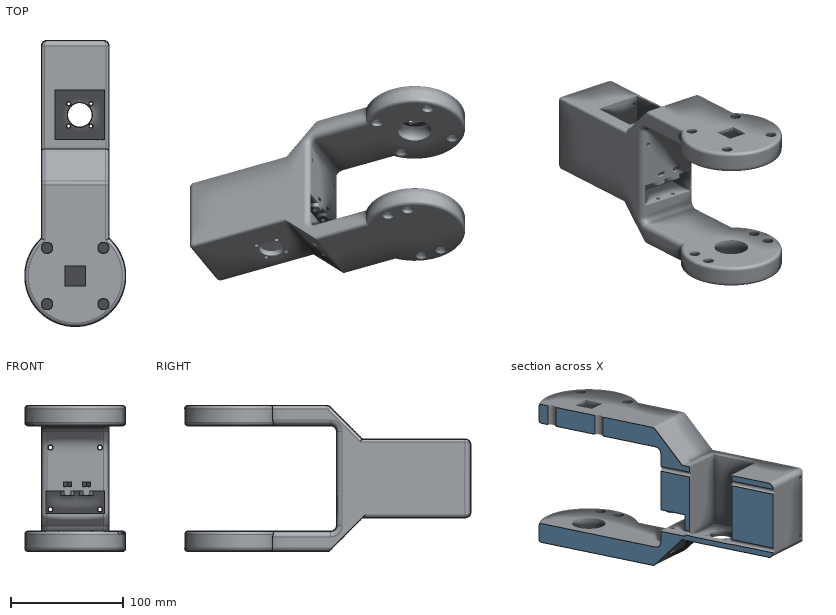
import cadquery as cq
import math

total_height = 130.0
total_length = 254.9
disc_diameter = 90.0
arm_thickness = 18.0
body_width = 60.1
body_height = 70.0

disc_radius = disc_diameter / 2
rear_y = total_length - disc_radius
yoke_face_y = 90.2
slope_front_y = 83.3
slope_rise = (total_height - body_height) / 2
slope_rear_y = slope_front_y + slope_rise

top_z = total_height / 2
body_top_z = body_height / 2
inner_z = top_z - arm_thickness
half_width = body_width / 2

tolerance = 0.3
edge_radius = 3.0
body_edge_radius = 2.5
large_radius = 5.0

disc_hole_diameter = 10.0
disc_hole_circle_radius = 35.5
upper_hole_angle = 45.0
lower_hole_angle = 15.8
disc_bore_diameter = 30.0
square_side = 18.0
upper_web = 3.0
lower_web = 4.0

motor_x = 4.0
motor_y = 143.5
motor_pocket_side = 44.0
motor_floor = 5.0
motor_shaft_hole_diameter = 22.0
motor_screw_diameter = 3.3
motor_screw_spacing = 20.0

screw_diameter = 4.0
long_screw_spacing_x = 44.0
long_screw_spacing_z = 55.0

window_width = 52.0
window_ceiling_z = -11.2
window_floor_z = -31.0
window_depth = 25.5
boss_xs = (-7.0, 10.0)
boss_diameter = 12.0
boss_drop = 3.8
boss_setback = 5.0
boss_axis_y = yoke_face_y + boss_setback
nut_width = 7.1
nut_slot_bottom_z = -7.5
nut_slot_height = 4.0


def plane_at(z):
    return cq.Workplane("XY").workplane(offset=z)


def make_yoke():
    """Body, sloped shoulders and two arms, as one side outline with rounded bends."""
    upper_outline = [
        (0, inner_z),
        (0, top_z),
        (slope_front_y, top_z),
        (slope_rear_y, body_top_z),
        (rear_y, body_top_z),
    ]
    lower_outline = [(y, -z) for y, z in reversed(upper_outline)]
    inner_outline = [(yoke_face_y, -inner_z), (yoke_face_y, inner_z)]
    outline = upper_outline + lower_outline + inner_outline
    yoke = cq.Workplane("YZ").polyline(outline).close().extrude(half_width, both=True)
    yoke = yoke.faces(">Y").edges().fillet(large_radius)
    rounded_bends = [
        (yoke_face_y, inner_z),
        (yoke_face_y, -inner_z),
        (slope_front_y, top_z),
    ]
    for y, z in rounded_bends:
        yoke = yoke.edges(cq.NearestToPointSelector((0, y, z))).fillet(large_radius)
    return yoke


def is_side_edge(edge):
    """Edges lying in the two flat sides."""
    return abs(edge.Center().x) > half_width - tolerance


def is_fork_edge(edge):
    """Side edges along the inside of the fork, from one arm around to the other."""
    center = edge.Center()
    inside = abs(center.z) < inner_z + tolerance and tolerance < center.y < yoke_face_y + tolerance
    return is_side_edge(edge) and inside


def is_arm_edge(edge):
    """Outer side edges of both arms and of the upper slope; the lower slope stays sharp."""
    center = edge.Center()
    upper = center.z > body_top_z + tolerance
    lower = center.z < tolerance - top_z
    outside = (upper or lower) and center.y > tolerance
    return is_side_edge(edge) and outside and not is_fork_edge(edge)


def is_body_edge(edge):
    """Long top and bottom edges of the body."""
    center = edge.Center()
    return is_side_edge(edge) and center.y > slope_rear_y and abs(center.z) > body_top_z - tolerance


def round_sides(yoke):
    """Round the fork inside, the outer arm edges and the long body edges."""
    yoke = yoke.edges().filter(is_fork_edge).fillet(large_radius)
    yoke = yoke.edges().filter(is_arm_edge).fillet(edge_radius)
    return yoke.edges().filter(is_body_edge).fillet(body_edge_radius)


def make_disc(bottom_z):
    """Disc at the end of an arm, with both rims rounded."""
    disc = plane_at(bottom_z).circle(disc_radius).extrude(arm_thickness)
    return disc.edges().fillet(edge_radius)


def make_bolt_holes(bottom_z, angle):
    """Four holes through a disc, at the given angle either side of the X axis."""
    x = disc_hole_circle_radius * math.cos(math.radians(angle))
    y = disc_hole_circle_radius * math.sin(math.radians(angle))
    corners = plane_at(bottom_z).rect(2 * x, 2 * y, forConstruction=True).vertices()
    return corners.circle(disc_hole_diameter / 2).extrude(arm_thickness)


def make_disc_bore(bottom_z, depth):
    return plane_at(bottom_z).circle(disc_bore_diameter / 2).extrude(depth)


def make_upper_disc_cuts():
    """Bore from below, a square opening through the web above it, and bolt holes."""
    bore = make_disc_bore(inner_z, arm_thickness - upper_web)
    square = plane_at(inner_z).rect(square_side, square_side).extrude(arm_thickness)
    return bore.union(square).union(make_bolt_holes(inner_z, upper_hole_angle))


def make_lower_disc_cuts():
    """Blind bore from above, and bolt holes."""
    bore = make_disc_bore(lower_web - top_z, arm_thickness - lower_web)
    return bore.union(make_bolt_holes(-top_z, lower_hole_angle))


def make_motor_cuts():
    """Square pocket from the top, with shaft and screw holes through its floor."""
    base = plane_at(-body_top_z).center(motor_x, motor_y)
    pocket_floor = base.workplane(offset=motor_floor)
    pocket = pocket_floor.rect(motor_pocket_side, motor_pocket_side).extrude(body_height - motor_floor)
    shaft_hole = base.circle(motor_shaft_hole_diameter / 2).extrude(body_height)
    screw_corners = base.rect(motor_screw_spacing, motor_screw_spacing, forConstruction=True).vertices()
    screw_holes = screw_corners.circle(motor_screw_diameter / 2).extrude(body_height)
    return pocket.union(shaft_hole).union(screw_holes)


def make_long_screw_holes():
    """Four holes along Y, from the yoke face through to the rear."""
    return (
        cq.Workplane("XZ")
        .workplane(offset=-rear_y)
        .rect(long_screw_spacing_x, long_screw_spacing_z, forConstruction=True)
        .vertices()
        .circle(screw_diameter / 2)
        .extrude(rear_y - yoke_face_y)
    )


def make_window():
    """Recess in the yoke face, less the round bosses hanging from its ceiling."""
    window_plane = plane_at(window_floor_z).center(0, yoke_face_y + window_depth / 2)
    window = window_plane.rect(window_width, window_depth).extrude(window_ceiling_z - window_floor_z)
    boss_centers = [(x, boss_axis_y) for x in boss_xs]
    boss_plane = plane_at(window_ceiling_z - boss_drop).pushPoints(boss_centers)
    bosses = boss_plane.circle(boss_diameter / 2).extrude(boss_drop)
    return window.cut(bosses)


def make_nut_cuts(x):
    """Hexagonal nut slot open at the yoke face, and the screw hole up to it from below."""
    nut_corner_diameter = nut_width / math.cos(math.pi / 6)
    slot_plane = plane_at(nut_slot_bottom_z).center(x, boss_axis_y)
    corner_to_rear = slot_plane.transformed(rotate=(0, 0, 90))
    hexagon = corner_to_rear.polygon(6, nut_corner_diameter).extrude(nut_slot_height)
    entry = slot_plane.center(0, -boss_setback / 2).rect(nut_width, boss_setback).extrude(nut_slot_height)
    screw_hole_plane = plane_at(-top_z).center(x, boss_axis_y)
    screw_hole = screw_hole_plane.circle(screw_diameter / 2).extrude(top_z + nut_slot_bottom_z)
    return hexagon.union(entry).union(screw_hole)


result = round_sides(make_yoke()).union(make_disc(inner_z)).union(make_disc(-top_z))
result = result.cut(make_upper_disc_cuts()).cut(make_lower_disc_cuts())
result = result.cut(make_motor_cuts()).cut(make_long_screw_holes()).cut(make_window())
for boss_x in boss_xs:
    result = result.cut(make_nut_cuts(boss_x))